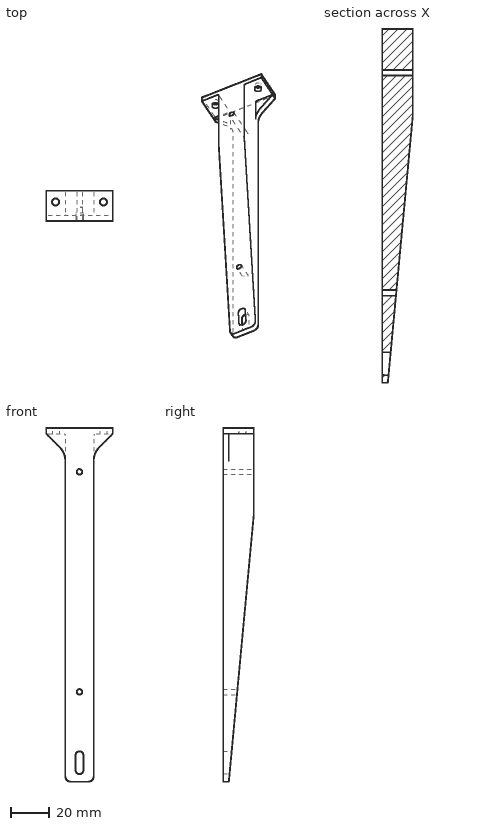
import cadquery as cq
import math

plate_width = 35.0
depth = 16.0
height = 185.0

plate_thickness = 3.0
plate_hole_diameter = 3.6
plate_hole_spacing = 25.0
plate_hole_y = 10.0

stem_width = 15.0
tip_thickness = 3.0
taper_start_z = 139.0
stem_corner_radius = 3.0
stem_root_radius = 1.0

flare_thickness = 3.0
flare_radius = 10.0
flare_angle = 45.0

screw_hole_diameter = 2.8
screw_hole_heights = (47.0, 162.0)
slot_width = 4.0
slot_bottom_z = 4.1
slot_top_z = 15.9

stem_half = stem_width / 2
plate_half = plate_width / 2
plate_bottom_z = height - plate_thickness

flare_corner_z = plate_bottom_z - (plate_half - stem_half) * math.tan(math.radians(flare_angle))
flare_bottom_z = flare_corner_z - flare_radius * math.tan(math.radians(flare_angle / 2))


def make_plate():
    """Flat top plate with two screw holes."""
    plate = cq.Workplane("XY", origin=(0, 0, plate_bottom_z)).rect(plate_width, depth)
    plate = plate.extrude(plate_thickness).translate((0, depth / 2, 0))
    holes = cq.Workplane("XY", origin=(0, plate_hole_y, plate_bottom_z))
    holes = holes.pushPoints([(side * plate_hole_spacing / 2, 0) for side in (-1, 1)])
    return plate.cut(holes.circle(plate_hole_diameter / 2).extrude(plate_thickness))


def make_stem():
    """Solid stem tapering towards its rounded lower tip."""
    side_outline = [
        (0, 0),
        (tip_thickness, 0),
        (depth, taper_start_z),
        (depth, plate_bottom_z),
        (0, plate_bottom_z),
    ]
    stem = cq.Workplane("YZ").polyline(side_outline).close().extrude(stem_half, both=True)
    return stem.edges("|Y and <Z").fillet(stem_corner_radius)


def make_flare():
    """Front web that widens from the stem to the full plate width."""
    angle = math.radians(flare_angle)

    def arc_point(turn):
        x = stem_half + flare_radius * (1 - math.cos(turn))
        return x, flare_bottom_z + flare_radius * math.sin(turn)

    start_x, start_z = arc_point(0)
    middle_x, middle_z = arc_point(angle / 2)
    end_x, end_z = arc_point(angle)
    outline = cq.Workplane("XZ").moveTo(-start_x, start_z).lineTo(start_x, start_z)
    outline = outline.threePointArc((middle_x, middle_z), (end_x, end_z))
    outline = outline.lineTo(plate_half, plate_bottom_z).lineTo(-plate_half, plate_bottom_z)
    outline = outline.lineTo(-end_x, end_z)
    outline = outline.threePointArc((-middle_x, middle_z), (-start_x, start_z))
    return outline.close().extrude(-flare_thickness)


def make_root_fillet(side):
    """Concave fillet under the plate along one side of the stem (side is -1 or 1)."""
    outer_x = stem_half + stem_root_radius
    low_z = plate_bottom_z - stem_root_radius
    reach = stem_root_radius * (1 - math.cos(math.radians(45)))
    outline = cq.Workplane("XZ").moveTo(side * stem_half, plate_bottom_z)
    outline = outline.lineTo(side * stem_half, low_z)
    outline = outline.threePointArc(
        (side * (stem_half + reach), plate_bottom_z - reach),
        (side * outer_x, plate_bottom_z),
    )
    return outline.close().extrude(-depth)


def make_stem_openings():
    """Screw holes and lower slot, all running front to back."""
    holes = cq.Workplane("XZ").pushPoints([(0, z) for z in screw_hole_heights])
    holes = holes.circle(screw_hole_diameter / 2).extrude(-depth)
    slot = cq.Workplane("XZ", origin=(0, 0, (slot_bottom_z + slot_top_z) / 2))
    slot = slot.slot2D(slot_top_z - slot_bottom_z, slot_width, 90).extrude(-depth)
    return holes.union(slot)


result = make_plate().union(make_stem()).union(make_flare())
for side in (-1, 1):
    result = result.union(make_root_fillet(side))
result = result.cut(make_stem_openings())